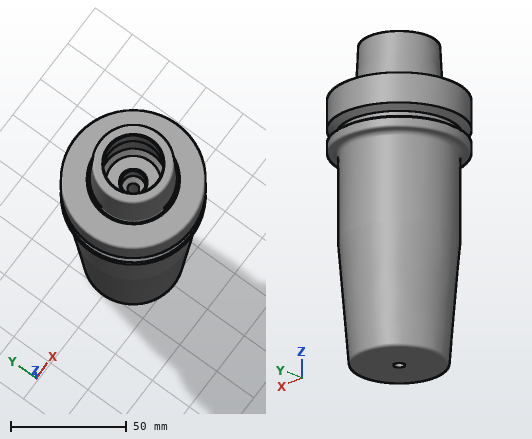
import cadquery as cq
import math

total_height = 150.0
flange_radius = 31.5

body_radius = 26.5
nose_radius = 21.9
nose_height = 57.0
nose_edge_fillet = 1.4

flange_top = 125.0
flange_bottom = 99.0
flange_edge_fillet = 1.0
body_fillet = 2.1

groove_middle = 107.1
groove_mouth_width = 6.8
groove_floor_radius = 27.5
groove_flank_angle = 30.0
groove_relief_drop = 0.8

taper_top_radius = 17.8
taper_base_radius = 19.0
taper_edge_fillet = 1.0
taper_base = 127.4
relief_radius = 18.9
relief_chamfer_height = 0.8
relief_fillet = 0.8
foot_radius = 20.2
foot_height = 0.3

bore_radius = 13.0
bore_chamfer = 0.5
bore_chamfer_height = 0.8
bore_lip_depth = 9.9
cavity_radius = 14.5
cavity_shoulder_angle = 60.0
cavity_floor = 120.0
cavity_floor_radius = 12.0

socket_radius = 5.4
socket_chamfer = 0.8
socket_depth = 9.0
passage_radius = 2.5
drill_point_angle = 118.0


def revolve_profile(profile):
    """Revolve a closed (radius, height) profile about the Z axis."""
    return profile.close().revolve(360, (0, 0, 0), (0, 1, 0))


def holder_blank():
    """Nose, body, flange and taper as one turned solid, with sharp nose and taper rims."""
    flank_slope = math.tan(math.radians(groove_flank_angle))
    flank_height = (flange_radius - groove_floor_radius) * flank_slope
    half_mouth = groove_mouth_width / 2
    half_floor = half_mouth - flank_height
    groove_relief_bottom = groove_middle - half_floor - groove_relief_drop
    relief_rim_radius = groove_floor_radius + groove_relief_drop / flank_slope
    foot_top = flange_top + foot_height
    foot_inner_radius = relief_radius + relief_fillet
    relief_top = taper_base - relief_chamfer_height
    profile = (
        cq.Workplane("XZ")
        .moveTo(0, 0)
        .lineTo(nose_radius, 0)
        .lineTo(body_radius, nose_height)
        .lineTo(body_radius, flange_bottom - body_fillet)
        .radiusArc((body_radius + body_fillet, flange_bottom), body_fillet)
        .lineTo(flange_radius - flange_edge_fillet, flange_bottom)
        .radiusArc((flange_radius, flange_bottom + flange_edge_fillet), -flange_edge_fillet)
        .lineTo(flange_radius, groove_middle - half_mouth)
        .lineTo(relief_rim_radius, groove_relief_bottom)
        .lineTo(groove_floor_radius, groove_relief_bottom)
        .lineTo(groove_floor_radius, groove_middle + half_floor)
        .lineTo(flange_radius, groove_middle + half_mouth)
        .lineTo(flange_radius, flange_top - flange_edge_fillet)
        .radiusArc((flange_radius - flange_edge_fillet, flange_top), -flange_edge_fillet)
        .lineTo(foot_radius, flange_top)
        .lineTo(foot_inner_radius, foot_top)
        .radiusArc((relief_radius, foot_top + relief_fillet), relief_fillet)
        .lineTo(relief_radius, relief_top)
        .lineTo(taper_base_radius, taper_base)
        .lineTo(taper_top_radius, total_height)
        .lineTo(0, total_height)
    )
    return revolve_profile(profile)


def taper_cavity():
    """Clamping bore: chamfered lip, undercut shoulder and a floor with a sloped rim."""
    lip_bottom = total_height - bore_lip_depth
    undercut = cavity_radius - bore_radius
    shoulder_bottom = lip_bottom - undercut / math.tan(math.radians(cavity_shoulder_angle))
    floor_rim = cavity_floor + cavity_radius - cavity_floor_radius
    profile = (
        cq.Workplane("XZ")
        .moveTo(0, total_height)
        .lineTo(bore_radius + bore_chamfer, total_height)
        .lineTo(bore_radius, total_height - bore_chamfer_height)
        .lineTo(bore_radius, lip_bottom)
        .lineTo(cavity_radius, shoulder_bottom)
        .lineTo(cavity_radius, floor_rim)
        .lineTo(cavity_floor_radius, cavity_floor)
        .lineTo(0, cavity_floor)
    )
    return revolve_profile(profile)


def coolant_passage():
    """Chamfered socket in the cavity floor with a drill-point end and a through hole."""
    socket_bottom = cavity_floor - socket_depth
    point_depth = (socket_radius - passage_radius) / math.tan(math.radians(drill_point_angle / 2))
    profile = (
        cq.Workplane("XZ")
        .moveTo(0, cavity_floor)
        .lineTo(socket_radius + socket_chamfer, cavity_floor)
        .lineTo(socket_radius, cavity_floor - socket_chamfer)
        .lineTo(socket_radius, socket_bottom)
        .lineTo(passage_radius, socket_bottom - point_depth)
        .lineTo(passage_radius, 0)
        .lineTo(0, 0)
    )
    return revolve_profile(profile)


blank = holder_blank()
blank = blank.faces("<Z").edges().fillet(nose_edge_fillet)
blank = blank.faces(">Z").edges().fillet(taper_edge_fillet)

result = blank.cut(taper_cavity()).cut(coolant_passage())